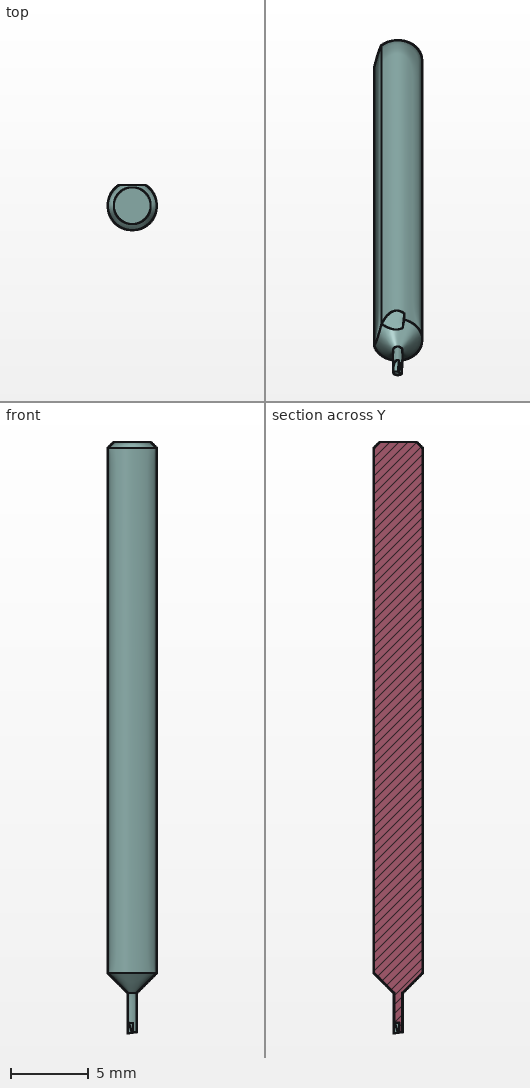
import cadquery as cq
import math

total_length = 38.1
shank_radius = 3.175 / 2
flat_offset = 1.333
end_chamfer = 0.4

neck_radius = 0.3
cone_base_z = 2.605
cone_top_z = cone_base_z + shank_radius - neck_radius

pocket_height = 0.68
pocket_wall_x = 0.06
pocket_floor_y = -0.06

clearance_rise = 1.02
clearance_top_z = cone_top_z + clearance_rise
clearance_tilt = 18.0
clearance_azimuth = 19.0
clearance_inner_y = 0.0

tip_rise = 0.08

block_size = 4 * shank_radius
clearance_block_length = total_length / 2


def turned_body():
    """Shank, cone and neck as one revolved profile."""
    profile = [
        (0, 0),
        (neck_radius, 0),
        (neck_radius, cone_base_z),
        (shank_radius, cone_top_z),
        (shank_radius, total_length - end_chamfer),
        (shank_radius - end_chamfer, total_length),
        (0, total_length),
    ]
    return cq.Workplane("XZ").polyline(profile).close().revolve(360, (0, 0), (0, 1))


def flat_cutter():
    """Block beyond the full-length flat on the +Y side."""
    return (
        cq.Workplane("XY")
        .box(block_size, block_size, total_length, centered=(True, False, False))
        .translate((0, flat_offset, 0))
    )


def pocket_cutter():
    """Block that removes the -X/-Y quarter of the head."""
    return (
        cq.Workplane("XY")
        .box(block_size, block_size, pocket_height, centered=False)
        .translate((pocket_wall_x - block_size, pocket_floor_y - block_size, 0))
    )


def clearance_cutter():
    """Block outside the tilted clearance plane, limited to the +Y half."""
    azimuth = math.radians(clearance_azimuth)
    start = (
        -shank_radius * math.cos(azimuth),
        shank_radius * math.sin(azimuth),
        clearance_top_z,
    )
    tilted_block = (
        cq.Workplane("XY")
        .box(block_size, block_size, clearance_block_length)
        .translate((-block_size / 2, 0, 0))
        .rotate((0, 0, 0), (0, 1, 0), -clearance_tilt)
        .rotate((0, 0, 0), (0, 0, 1), -clearance_azimuth)
        .translate(start)
    )
    plus_y_half = (
        cq.Workplane("XY")
        .box(2 * block_size, block_size, total_length, centered=(True, False, False))
        .translate((0, clearance_inner_y, 0))
    )
    return tilted_block.intersect(plus_y_half)


def end_face_cutter():
    """Wedge below the sloping end face."""
    wedge = [(-neck_radius, 0), (neck_radius, 0), (neck_radius, tip_rise)]
    return cq.Workplane("XZ").polyline(wedge).close().extrude(neck_radius, both=True)


result = (
    turned_body()
    .cut(flat_cutter())
    .cut(pocket_cutter())
    .cut(clearance_cutter())
    .cut(end_face_cutter())
)